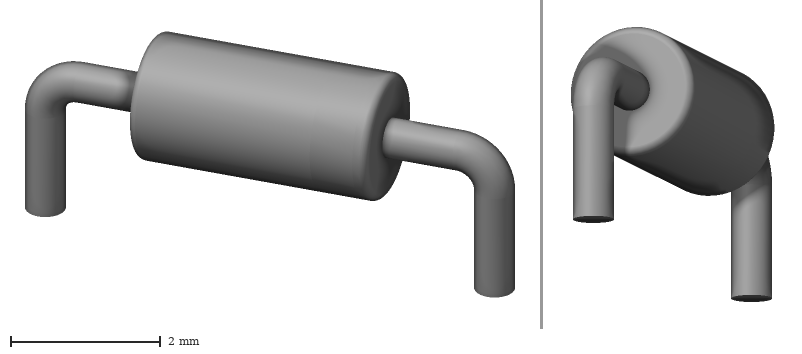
import cadquery as cq

overall_length = 6.95

body_diameter = 1.75
body_length = 3.405
body_edge_radius = 0.105

band_width = 0.605
band_inner_diameter = 1.6
band_end_margin = 0.21

lead_diameter = 0.55
lead_bend_radius = 0.5
lead_drop = 2.0

body_end = body_length / 2
band_start = body_end - band_end_margin - band_width
lead_leg_x = (overall_length - lead_diameter) / 2
lead_bend_start = lead_leg_x - lead_bend_radius


def make_band():
    """Marking ring, flush with the outside of the body."""
    return (
        cq.Workplane("YZ", origin=(band_start, 0, 0))
        .circle(body_diameter / 2)
        .circle(band_inner_diameter / 2)
        .extrude(band_width)
    )


def make_body(band):
    """Cylinder with rounded ends and a groove that holds the band."""
    cylinder = (
        cq.Workplane("YZ", origin=(-body_end, 0, 0))
        .circle(body_diameter / 2)
        .extrude(body_length)
        .faces("<X or >X")
        .edges()
        .fillet(body_edge_radius)
    )
    return cylinder.cut(band).solids()


def make_lead(side):
    """Round wire from a body end (side -1 or 1), bent down to its tip."""
    path = (
        cq.Workplane("XZ")
        .moveTo(side * body_end, 0)
        .lineTo(side * lead_bend_start, 0)
        .tangentArcPoint((side * lead_leg_x, -lead_bend_radius), relative=False)
        .lineTo(side * lead_leg_x, -lead_drop)
    )
    return (
        cq.Workplane("YZ", origin=(side * body_end, 0, 0))
        .circle(lead_diameter / 2)
        .sweep(path)
    )


band = make_band()
body = make_body(band)
leads = [make_lead(side) for side in (-1, 1)]

result = cq.Compound.makeCompound([body.val(), band.val(), *[lead.val() for lead in leads]])